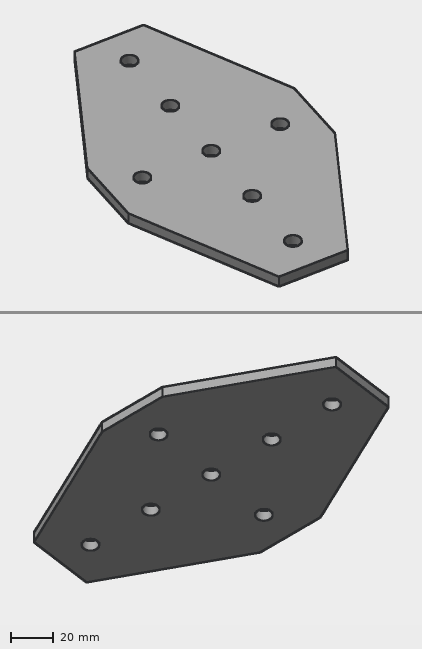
import cadquery as cq

pitch = 38.1
thickness = 6.3
hole_diameter = 8.4

half_length = 5 * pitch / 2
half_width = 3 * pitch / 2
half_end = pitch / 2

outline = [
    (-half_length, -half_end),
    (-half_end, -half_width),
    (half_end, -half_width),
    (half_length, -half_end),
    (half_length, half_end),
    (half_end, half_width),
    (-half_end, half_width),
    (-half_length, half_end),
]
plate = cq.Workplane("XY").polyline(outline).close().extrude(thickness)

row_holes = [(step * pitch, 0) for step in range(-2, 3)]
side_holes = [(0, side * pitch) for side in (-1, 1)]

result = (
    plate.faces(">Z")
    .workplane(origin=(0, 0, thickness))
    .pushPoints(row_holes + side_holes)
    .hole(hole_diameter)
)